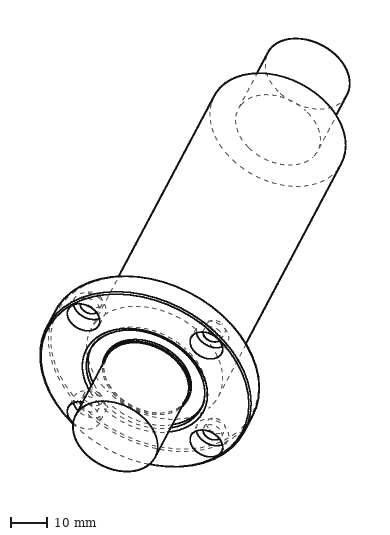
import cadquery as cq

full_turn = 360

shaft_length = 162.0
shaft_diameter = 25.0

body_length = 112.0
body_diameter = 40.0

flange_diameter = 62.0
flange_thickness = 8.0
flange_chamfer = 0.5

bolt_circle_diameter = 51.0
screw_hole_diameter = 5.5
counterbore_diameter = 9.5
counterbore_depth = 5.0
first_hole_angle = 45
hole_count = 4

mouth_diameter = 36.8
mouth_depth = 0.5
recess_diameter = 34.8
recess_depth = 2.0
lip_diameter = 26.0
lip_height = 0.8

body_front = -body_length / 2


def cylinder(diameter, front, length):
    """Solid cylinder on the Y axis, from y = front towards +Y."""
    plane = cq.Workplane("XZ", origin=(0, front, 0))
    return plane.circle(diameter / 2).extrude(-length)


def make_flange():
    flange = cylinder(flange_diameter, body_front, flange_thickness)
    return flange.faces("<Y or >Y").edges().chamfer(flange_chamfer)


def cut_screw_holes(part):
    return (
        part.copyWorkplane(cq.Workplane("XZ", origin=(0, body_front, 0)))
        .polarArray(bolt_circle_diameter / 2, first_hole_angle, full_turn, hole_count)
        .cboreHole(screw_hole_diameter, counterbore_diameter, counterbore_depth, flange_thickness)
    )


def make_front_recess():
    """Bevelled round pocket revolved about the shaft axis."""
    mouth_bottom = body_front + mouth_depth
    seal_face = body_front + recess_depth
    half_section = (
        cq.Workplane("XY")
        .moveTo(0, body_front)
        .lineTo(mouth_diameter / 2, body_front)
        .lineTo(recess_diameter / 2, mouth_bottom)
        .lineTo(recess_diameter / 2, seal_face)
        .lineTo(0, seal_face)
        .close()
    )
    return half_section.revolve(full_turn, (0, 0, 0), (0, 1, 0))


def make_seal_lip():
    seal_face = body_front + recess_depth
    return cylinder(lip_diameter, seal_face - lip_height, lip_height)


housing = cylinder(body_diameter, body_front, body_length).union(make_flange())
housing = cut_screw_holes(housing).cut(make_front_recess()).union(make_seal_lip())
shaft = cylinder(shaft_diameter, -shaft_length / 2, shaft_length)
result = housing.union(shaft)